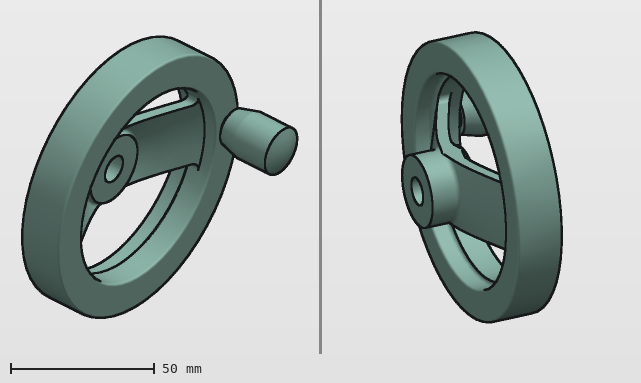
import cadquery as cq
import math


rim_radius = 50.0
rim_inner_radius = 77.05 / 2
rim_bore_radius = 37.0
rim_front = 16.2
rim_width = 16.8
rim_back = rim_front + rim_width
rim_edge_radius = 0.9

web_corner_radius = 1.4
web_front = 24.13
web_edge_width = 3.9
web_back = web_front + web_edge_width
web_angle = 28.5
window_corner_radius = 2.0

hub_radius = 13.0
hub_fillet_radius = 1.5
hub_back_fillet_radius = 1.2
hub_back = 17.4
bore_radius = 5.0
spoke_clearance = 0.01
spoke_half_width = hub_radius + spoke_clearance
web_slope = math.tan(math.radians(web_angle))
web_front_root = web_front - (rim_inner_radius - hub_radius) * web_slope
web_back_root = web_back - (rim_bore_radius - hub_radius) * web_slope

handle_y = (rim_radius + rim_inner_radius) / 2
stem_radius = 8.64 / 2
grip_radius = 9.0
grip_neck_radius = 7.1
grip_start = 34.8
grip_shoulder = 42.0
grip_dome_start = 56.35
grip_end = 58.17


def revolve_about_x(profile):
    """Turn a closed profile (X, radius) into a solid about the X axis."""
    return profile.revolve(360, (0, 0, 0), (1, 0, 0))


def edges_at(body, x, radius):
    """Select the circular edges of a turned body at a given X and radius."""
    tolerance = 0.01
    selector = cq.selectors.BoxSelector(
        (x - tolerance, -tolerance, -tolerance),
        (x + tolerance, tolerance, tolerance),
    )
    circles = body.edges("%CIRCLE").edges(selector)
    return circles.filter(lambda edge: abs(edge.radius() - radius) < tolerance)


def make_wheel():
    """Rim, dished web and hub as one turned body with its edges rounded."""
    profile = (
        cq.Workplane("XY")
        .moveTo(0, 0)
        .lineTo(0, hub_radius)
        .lineTo(web_front_root, hub_radius)
        .lineTo(web_front, rim_inner_radius)
        .lineTo(rim_front, rim_inner_radius)
        .lineTo(rim_front, rim_radius)
        .lineTo(rim_back, rim_radius)
        .lineTo(rim_back, rim_bore_radius)
        .lineTo(web_back, rim_bore_radius)
        .lineTo(web_back_root, hub_radius)
        .lineTo(hub_back, hub_radius)
        .lineTo(hub_back, 0)
        .close()
    )
    wheel = revolve_about_x(profile)
    rim_edges = (
        (rim_front, rim_inner_radius),
        (rim_front, rim_radius),
        (rim_back, rim_bore_radius),
        (rim_back, rim_radius),
    )
    for x, radius in rim_edges:
        wheel = edges_at(wheel, x, radius).fillet(rim_edge_radius)
    wheel = edges_at(wheel, web_front, rim_inner_radius).fillet(web_corner_radius)
    wheel = edges_at(wheel, web_back_root, hub_radius).fillet(hub_back_fillet_radius)
    return edges_at(wheel, web_front_root, hub_radius).fillet(hub_fillet_radius)


def make_windows():
    """Two circular segments, above and below the spokes, with rounded corners."""
    disc = cq.Workplane("YZ").circle(rim_bore_radius).extrude(rim_back)
    spokes = cq.Workplane("YZ").rect(2 * rim_radius, 2 * spoke_half_width).extrude(rim_back)
    return disc.cut(spokes).edges("|X").fillet(window_corner_radius)


def make_handle():
    """Stem and grip with a tapered neck and a domed end."""
    dome_height = grip_end - grip_dome_start
    dome_radius = (grip_radius**2 + dome_height**2) / (2 * dome_height)
    dome_centre = grip_end - dome_radius
    mid_angle = math.asin(grip_radius / dome_radius) / 2
    dome_middle = (
        dome_centre + dome_radius * math.cos(mid_angle),
        dome_radius * math.sin(mid_angle),
    )
    profile = (
        cq.Workplane("XY")
        .moveTo(web_back, 0)
        .lineTo(web_back, stem_radius)
        .lineTo(grip_start, stem_radius)
        .lineTo(grip_start, grip_neck_radius)
        .lineTo(grip_shoulder, grip_radius)
        .lineTo(grip_dome_start, grip_radius)
        .threePointArc(dome_middle, (grip_end, 0))
        .close()
    )
    return revolve_about_x(profile).translate((0, handle_y, 0))


bore = cq.Workplane("YZ").circle(bore_radius).extrude(hub_back)
result = make_wheel().cut(make_windows()).cut(bore).union(make_handle())